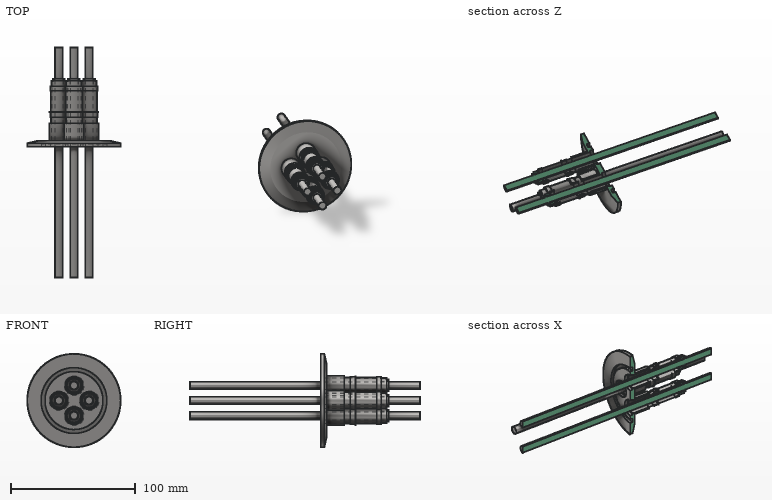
import cadquery as cq
import math


flange_diameter = 75.0
rim_thickness = 3.0
flange_thickness = 5.0
hub_diameter = 57.8
groove_outer_diameter = 52.7
groove_inner_diameter = 46.4
groove_depth = 2.4

conductor_count = 4
pitch_diameter = 24.1
rod_diameter = 6.3
rod_length = 184.2
rod_back_end = 79.5

sleeve_diameter = 15.7
neck_diameter = 12.9
collar_diameter = 14.2
lip_diameter = 15.1
ceramic_diameter = 13.0
cap_diameter = 12.0
plug_diameter = 9.5

sleeve_length = 19.0
neck_length = 4.6
front_collar_length = 4.0
lip_length = 0.4
ceramic_length = 16.8
back_collar_length = 3.7
cap_length = 4.5
plug_length = 1.5

sleeve_bore_diameter = 14.2
sleeve_bore_depth = 2.8
neck_bore_diameter = 12.0
ceramic_bore_diameter = 11.2
cap_bore_diameter = 7.0


def cylinder(diameter, start, length):
    """Cylinder about the Y axis, running from Y = start toward +Y."""
    return cq.Workplane("XZ", origin=(0, start, 0)).circle(diameter / 2).extrude(-length)


def stack(steps):
    """Join (diameter, length) cylinders end to end from the sealing face."""
    diameter, end = steps[0]
    body = cylinder(diameter, 0, end)
    for diameter, length in steps[1:]:
        body = body.union(cylinder(diameter, end, length))
        end += length
    return body


def make_flange():
    """Disc with a conical back and a square ring groove in the sealing face."""
    profile = [
        (0, 0),
        (groove_inner_diameter / 2, 0),
        (groove_inner_diameter / 2, groove_depth),
        (groove_outer_diameter / 2, groove_depth),
        (groove_outer_diameter / 2, 0),
        (flange_diameter / 2, 0),
        (flange_diameter / 2, rim_thickness),
        (hub_diameter / 2, flange_thickness),
        (0, flange_thickness),
    ]
    return cq.Workplane("XY").polyline(profile).close().revolve(360, (0, 0, 0), (0, 1, 0))


def make_insulator():
    """Weld sleeve, ceramic tube with its collars, end cap and plug."""
    return stack([
        (sleeve_diameter, sleeve_length),
        (neck_diameter, neck_length),
        (collar_diameter, front_collar_length),
        (lip_diameter, lip_length),
        (ceramic_diameter, ceramic_length),
        (collar_diameter, back_collar_length),
        (cap_diameter, cap_length),
        (plug_diameter, plug_length),
    ])


def make_bore():
    """Clearance around the conductor, closed at its far end by the plug."""
    ceramic_start = sleeve_length + neck_length + front_collar_length + lip_length
    return stack([
        (sleeve_bore_diameter, sleeve_bore_depth),
        (neck_bore_diameter, ceramic_start - sleeve_bore_depth),
        (ceramic_bore_diameter, ceramic_length + back_collar_length),
        (cap_bore_diameter, cap_length),
    ])


def make_rod():
    return cylinder(rod_diameter, rod_back_end - rod_length, rod_length)


insulator = make_insulator()
bore = make_bore()
rod = make_rod()

result = make_flange()
for index in range(conductor_count):
    angle = index * 2 * math.pi / conductor_count
    x = pitch_diameter / 2 * math.cos(angle)
    z = pitch_diameter / 2 * math.sin(angle)
    position = (x, 0, z)
    result = result.union(insulator.translate(position))
    result = result.cut(bore.translate(position))
    result = result.union(rod.translate(position))